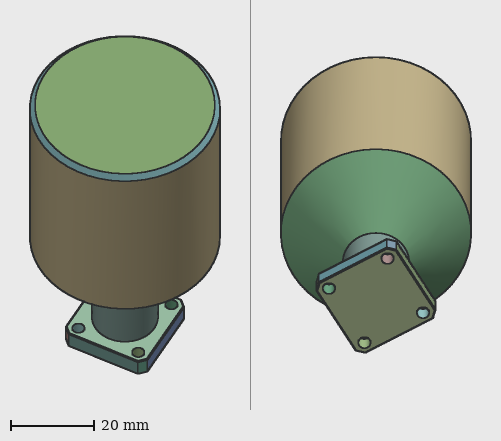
import cadquery as cq

TOTAL_HEIGHT = 83.19
BODY_DIAMETER = 45.72
BODY_TOP_CHAMFER = 1.27
NECK_DIAMETER = 15.95

FLANGE_SIDE = 22.23
FLANGE_THICKNESS = 4.83
FLANGE_CORNER_CHAMFER = 1.7
FLANGE_EDGE_CHAMFER = 0.254
HOLE_DIAMETER = 2.95
HOLE_SPACING_X = 16.26
HOLE_SPACING_Y = 17.02

NECK_TOP = 19.68
BODY_RADIUS = BODY_DIAMETER / 2
NECK_RADIUS = NECK_DIAMETER / 2
CONE_TOP = NECK_TOP + BODY_RADIUS - NECK_RADIUS


def make_flange():
    """Square flange with cut corners, broken edges and four through holes."""
    plate = cq.Workplane("XY").box(
        FLANGE_SIDE, FLANGE_SIDE, FLANGE_THICKNESS, centered=(True, True, False)
    )
    plate = plate.edges("|Z").chamfer(FLANGE_CORNER_CHAMFER)
    plate = plate.faces("<Z or >Z").edges().chamfer(FLANGE_EDGE_CHAMFER)
    holes = (
        cq.Workplane("XY")
        .rect(HOLE_SPACING_X, HOLE_SPACING_Y, forConstruction=True)
        .vertices()
        .circle(HOLE_DIAMETER / 2)
        .extrude(FLANGE_THICKNESS)
    )
    return plate.cut(holes)


def make_turned_body():
    """Neck, 45 degree cone and chamfered cylinder, revolved about Z."""
    half_profile = (
        cq.Workplane("XZ")
        .moveTo(0, 0)
        .lineTo(NECK_RADIUS, 0)
        .lineTo(NECK_RADIUS, NECK_TOP)
        .lineTo(BODY_RADIUS, CONE_TOP)
        .lineTo(BODY_RADIUS, TOTAL_HEIGHT - BODY_TOP_CHAMFER)
        .lineTo(BODY_RADIUS - BODY_TOP_CHAMFER, TOTAL_HEIGHT)
        .lineTo(0, TOTAL_HEIGHT)
        .close()
    )
    return half_profile.revolve(360, (0, 0, 0), (0, 1, 0))


result = make_flange().union(make_turned_body())